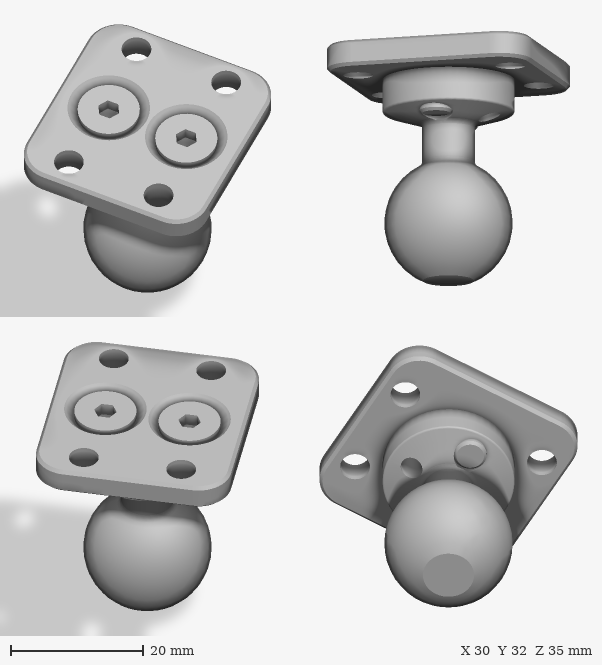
import cadquery as cq
import math

PLATE_X = 30.0
PLATE_Y = 32.0
PLATE_THICKNESS = 4.0
PLATE_CORNER_RADIUS = 5.0
PLATE_CHAMFER = 0.5
MOUNT_HOLE_DIAMETER = 4.5
MOUNT_HOLE_SPACING_X = 15.0
MOUNT_HOLE_SPACING_Y = 24.0

SCREW_SPACING = 13.0
SHANK_DIAMETER = 5.0
SHANK_END_DEPTH = 10.35
SHANK_CHAMFER = 0.42
HEAD_DIAMETER = 9.4
HEAD_TOP_DEPTH = 0.4
COUNTERSINK_DIAMETER = 12.5
SOCKET_ACROSS_FLATS = 3.0
SOCKET_DEPTH = 2.0
SOCKET_TIP_DEPTH = 0.88

BOSS_DIAMETER = 20.0
BOSS_EDGE_DEPTH = 8.95
BOSS_EDGE_FILLET = 0.35
NECK_DIAMETER = 8.0
NECK_TOP_DEPTH = 10.9
NECK_TOP_FILLET = 0.75
BALL_FILLET = 1.0
BALL_DIAMETER = 19.45
BALL_CENTRE_DEPTH = 26.08
POST_END_DEPTH = 35.0
SIDE_HOLE_DIAMETER = 3.3
SIDE_HOLE_OFFSET = SCREW_SPACING / 2

SCREW_POSITIONS = [(-SCREW_SPACING / 2, 0), (SCREW_SPACING / 2, 0)]


def screw_envelope():
    """Countersunk head and shank that fill the hole, centred on Z."""
    shank_radius = SHANK_DIAMETER / 2
    head_radius = HEAD_DIAMETER / 2
    sink_radius = COUNTERSINK_DIAMETER / 2
    return (
        cq.Workplane("XZ")
        .moveTo(0, -HEAD_TOP_DEPTH)
        .lineTo(head_radius, -HEAD_TOP_DEPTH)
        .lineTo(head_radius, head_radius - sink_radius)
        .lineTo(shank_radius, shank_radius - sink_radius)
        .lineTo(shank_radius, SHANK_CHAMFER - SHANK_END_DEPTH)
        .lineTo(shank_radius - SHANK_CHAMFER, -SHANK_END_DEPTH)
        .lineTo(0, -SHANK_END_DEPTH)
        .close()
        .revolve()
    )


def make_screw(position):
    across_corners = SOCKET_ACROSS_FLATS / math.cos(math.pi / 6)
    socket_floor = -HEAD_TOP_DEPTH - SOCKET_DEPTH
    socket = (
        cq.Workplane("XY", origin=(0, 0, socket_floor))
        .polygon(6, across_corners)
        .extrude(SOCKET_DEPTH)
    )
    socket_tip = cq.Workplane(
        cq.Solid.makeCone(
            SOCKET_ACROSS_FLATS / 2, 0, SOCKET_TIP_DEPTH,
            pnt=cq.Vector(0, 0, socket_floor), dir=cq.Vector(0, 0, -1),
        )
    )
    return screw_envelope().cut(socket).cut(socket_tip).translate((*position, 0))


def make_plate():
    plate = (
        cq.Workplane("XY", origin=(0, 0, -PLATE_THICKNESS))
        .rect(PLATE_X, PLATE_Y)
        .extrude(PLATE_THICKNESS)
        .edges("|Z").fillet(PLATE_CORNER_RADIUS)
        .faces("<Z or >Z").edges().chamfer(PLATE_CHAMFER)
    )
    mount_holes = (
        cq.Workplane("XY")
        .rect(MOUNT_HOLE_SPACING_X, MOUNT_HOLE_SPACING_Y, forConstruction=True)
        .vertices()
        .circle(MOUNT_HOLE_DIAMETER / 2)
        .extrude(-PLATE_THICKNESS)
    )
    screw_holes = (
        cq.Workplane("XY")
        .pushPoints(SCREW_POSITIONS)
        .circle(SHANK_DIAMETER / 2)
        .extrude(-PLATE_THICKNESS)
    )
    countersink_depth = (COUNTERSINK_DIAMETER - SHANK_DIAMETER) / 2
    countersinks = (
        cq.Workplane("XY")
        .pushPoints(SCREW_POSITIONS)
        .circle(COUNTERSINK_DIAMETER / 2)
        .extrude(-countersink_depth, taper=45)
    )
    return plate.cut(mount_holes).cut(screw_holes).cut(countersinks)


def edges_at(height):
    """Selector for the post's circular edges whose centre lies at this height."""
    margin = 0.05
    reach = BOSS_DIAMETER / 2
    return cq.selectors.BoxSelector(
        (-reach, -reach, height - margin),
        (reach, reach, height + margin),
    )


def make_ball_post():
    boss_radius = BOSS_DIAMETER / 2
    neck_radius = NECK_DIAMETER / 2
    ball_radius = BALL_DIAMETER / 2
    ball_top = math.sqrt(ball_radius**2 - neck_radius**2) - BALL_CENTRE_DEPTH
    flat_radius = math.sqrt(ball_radius**2 - (POST_END_DEPTH - BALL_CENTRE_DEPTH) ** 2)
    post = (
        cq.Workplane("XZ")
        .moveTo(0, -PLATE_THICKNESS)
        .lineTo(boss_radius, -PLATE_THICKNESS)
        .lineTo(boss_radius, -BOSS_EDGE_DEPTH)
        .lineTo(neck_radius, -NECK_TOP_DEPTH)
        .lineTo(neck_radius, ball_top)
        .threePointArc((ball_radius, -BALL_CENTRE_DEPTH), (flat_radius, -POST_END_DEPTH))
        .lineTo(0, -POST_END_DEPTH)
        .close()
        .revolve()
    )
    post = post.edges(edges_at(-BOSS_EDGE_DEPTH)).fillet(BOSS_EDGE_FILLET)
    post = post.edges(edges_at(-NECK_TOP_DEPTH)).fillet(NECK_TOP_FILLET)
    post = post.edges(edges_at(ball_top)).fillet(BALL_FILLET)

    side_hole = (
        cq.Workplane("XY", origin=(0, -SIDE_HOLE_OFFSET, -PLATE_THICKNESS))
        .circle(SIDE_HOLE_DIAMETER / 2)
        .extrude(PLATE_THICKNESS - NECK_TOP_DEPTH)
    )
    screw_holes = (
        cq.Workplane("XY", origin=(0, 0, -PLATE_THICKNESS))
        .pushPoints(SCREW_POSITIONS)
        .circle(SHANK_DIAMETER / 2)
        .extrude(PLATE_THICKNESS - NECK_TOP_DEPTH)
    )
    return post.cut(side_hole).cut(screw_holes)


plate = make_plate()
ball_post = make_ball_post()
screws = [make_screw(position) for position in SCREW_POSITIONS]

result = cq.Compound.makeCompound(
    [plate.val(), ball_post.val(), *[screw.val() for screw in screws]]
)